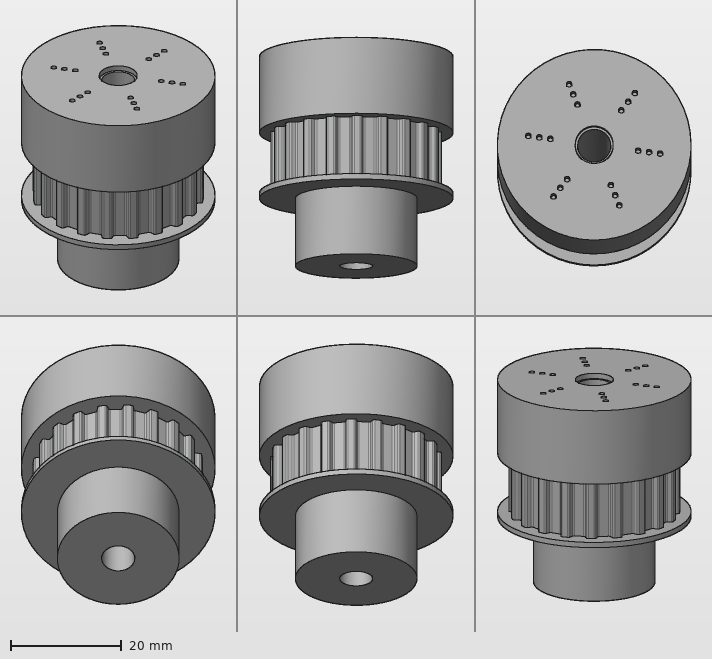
import cadquery as cq
import math

total_height = 38.6
hub_height = 12.45
flange_thickness = 1.0
drum_height = 14.0
teeth_bottom = hub_height + flange_thickness
drum_bottom = total_height - drum_height
teeth_height = drum_bottom - teeth_bottom

drum_diameter = 35.0
flange_diameter = drum_diameter
hub_diameter = 22.0
bore_diameter = 6.0
counterbore_diameter = 6.87
counterbore_depth = 1.0

tooth_count = 20
tooth_pitch_angle = 360.0 / tooth_count
tip_radius = 15.45
floor_radius = 14.25
groove_floor_width = 2.2
groove_wall_angle = 25.0
tooth_edge_radius = 0.4

row_count = 6
row_angle = 360.0 / row_count
first_row_angle = 90.0
hole_diameter = 1.0
hole_depth = 2 * hole_diameter
inner_hole_radius = 8.0
hole_spacing = 2.0
holes_per_row = 3


def cylinder(diameter, bottom, height):
    """Cylinder on the Z axis, starting at the given height."""
    return cq.Workplane("XY").workplane(offset=bottom).circle(diameter / 2).extrude(height)


def groove():
    """Tapered groove cutter on the +X side, reaching past the tooth tips."""
    outer_radius = tip_radius + tooth_edge_radius
    floor_half = groove_floor_width / 2
    flare = (outer_radius - floor_radius) * math.tan(math.radians(groove_wall_angle))
    outer_half = floor_half + flare
    outline = [
        (floor_radius, -floor_half),
        (outer_radius, -outer_half),
        (outer_radius, outer_half),
        (floor_radius, floor_half),
    ]
    base = cq.Workplane("XY").workplane(offset=teeth_bottom)
    return base.polyline(outline).close().extrude(teeth_height)


def toothed_section():
    """Belt teeth with a tooth centred on +X; tips and groove floors are rounded alike."""
    section = cylinder(2 * tip_radius, teeth_bottom, teeth_height)
    cutter = groove()
    for index in range(tooth_count):
        section = section.cut(cutter.rotate((0, 0, 0), (0, 0, 1), index * tooth_pitch_angle))
    section = section.edges("|Z").fillet(tooth_edge_radius)
    return section.rotate((0, 0, 0), (0, 0, 1), tooth_pitch_angle / 2)


def face_holes():
    """Cutters for the rows of blind holes in the drum face."""
    centres = []
    for row in range(row_count):
        angle = math.radians(first_row_angle + row * row_angle)
        for step in range(holes_per_row):
            radius = inner_hole_radius + step * hole_spacing
            centres.append((radius * math.cos(angle), radius * math.sin(angle)))
    top = cq.Workplane("XY").workplane(offset=total_height)
    return top.pushPoints(centres).circle(hole_diameter / 2).extrude(-hole_depth)


hub = cylinder(hub_diameter, 0, hub_height)
flange = cylinder(flange_diameter, hub_height, flange_thickness)
drum = cylinder(drum_diameter, drum_bottom, drum_height)
body = hub.union(flange).union(toothed_section()).union(drum)

bore = cylinder(bore_diameter, 0, total_height)
counterbore = cylinder(counterbore_diameter, total_height - counterbore_depth, counterbore_depth)

result = body.cut(bore).cut(counterbore).cut(face_holes())